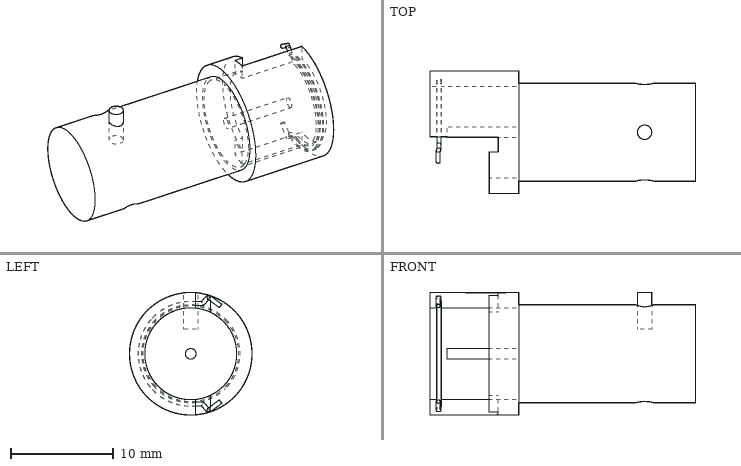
import cadquery as cq

total_length = 25.95

socket_radius = 6.0
socket_length = 8.7
bore_radius = 4.5

opening_face_y = -0.45
opening_length = 5.79
notch_length = 6.67
notch_face_y = -1.92

tube_radius = 4.8
waist_center_x = 20.97
waist_width = 1.82
waist_depth = 0.13
lug_radius = 0.7
lug_rim_rounding = 0.15
lug_top_z = socket_radius
lug_root_z = tube_radius / 2

contact_radius = 0.52
contact_tip_x = 1.65

groove_center_x = 0.88
groove_width = 0.47
groove_radius = 5.15
wire_radius = 0.2
clip_radius = 4.9

leg_bend = (-1.15, clip_radius)
crest_start = (-1.63, 5.45)
crest_end = (-1.87, 5.45)
leg_tip = (-2.9, 4.67)
tail_shift_x = -0.08


def cylinder_along_x(radius, start_x, end_x):
    """Cylinder on the connector axis between two X positions."""
    return cq.Workplane("YZ", origin=(start_x, 0, 0)).circle(radius).extrude(end_x - start_x)


def make_shell():
    """Socket ring and tube, turned about the X axis."""
    waist_start = waist_center_x - waist_width / 2
    waist_end = waist_center_x + waist_width / 2
    profile = (
        cq.Workplane("XY")
        .moveTo(0, bore_radius)
        .lineTo(0, socket_radius)
        .lineTo(socket_length, socket_radius)
        .lineTo(socket_length, tube_radius)
        .lineTo(waist_start, tube_radius)
        .threePointArc((waist_center_x, tube_radius - waist_depth), (waist_end, tube_radius))
        .lineTo(total_length, tube_radius)
        .lineTo(total_length, 0)
        .lineTo(socket_length, 0)
        .lineTo(socket_length, bore_radius)
        .close()
    )
    return profile.revolve(360, (0, 0, 0), (1, 0, 0))


def lug_cylinder():
    """Round bar standing on the lug axis, from the bottom of its hole to its top."""
    return (
        cq.Workplane("XY", origin=(waist_center_x, 0, lug_root_z))
        .circle(lug_radius)
        .extrude(lug_top_z - lug_root_z)
    )


def cut_lug_hole(body):
    """Blind hole for the bayonet lug in the waist, with a rounded rim."""
    rim_zone = cq.selectors.BoxSelector(
        (waist_center_x - waist_width / 2, -waist_width / 2, tube_radius - 3 * waist_depth),
        (waist_center_x + waist_width / 2, waist_width / 2, tube_radius),
        boundingbox=True,
    )
    return body.cut(lug_cylinder()).edges(rim_zone).fillet(lug_rim_rounding)


def cut_side_opening(body):
    """Stepped opening that removes the -Y side of the socket mouth."""
    opening = (
        cq.Workplane("XY")
        .moveTo(0, opening_face_y)
        .lineTo(notch_length, opening_face_y)
        .lineTo(notch_length, notch_face_y)
        .lineTo(opening_length, notch_face_y)
        .lineTo(opening_length, -socket_radius)
        .lineTo(0, -socket_radius)
        .close()
        .extrude(socket_radius, both=True)
    )
    return body.cut(opening)


def cut_clip_groove(body):
    """Square ring groove in the bore that holds the wire clip."""
    start_x = groove_center_x - groove_width / 2
    return body.cut(cylinder_along_x(groove_radius, start_x, start_x + groove_width))


def add_contact_pin(body):
    """Contact pin rising from the socket floor towards the open end."""
    return body.union(cylinder_along_x(contact_radius, contact_tip_x, socket_length))


def make_housing():
    body = cut_lug_hole(make_shell())
    body = cut_clip_groove(body)
    body = cut_side_opening(body)
    return add_contact_pin(body)


def make_bayonet_lug():
    return lug_cylinder()


def make_upper_leg():
    """Bent leg that continues the upper end of the wire ring through the side opening."""
    tail_x = groove_center_x + tail_shift_x
    points = [
        cq.Vector(groove_center_x, 0, clip_radius),
        cq.Vector(groove_center_x, *leg_bend),
        cq.Vector(groove_center_x, *crest_start),
        cq.Vector(tail_x, *crest_end),
        cq.Vector(tail_x, *leg_tip),
    ]
    path = cq.Workplane(cq.Wire.makePolygon(points))
    section = cq.Workplane("XZ", origin=points[0].toTuple()).circle(wire_radius)
    return section.sweep(path, transition="right")


def make_wire_clip():
    """Half ring of round wire with a bent leg at each end."""
    half_ring = (
        cq.Workplane("XZ", origin=(groove_center_x, 0, 0))
        .center(0, clip_radius)
        .circle(wire_radius)
        .revolve(180, (0, -clip_radius, 0), (-1, -clip_radius, 0))
    )
    upper_leg = make_upper_leg()
    lower_leg = upper_leg.mirror("XY")
    return half_ring.union(upper_leg).union(lower_leg)


housing = make_housing()
bayonet_lug = make_bayonet_lug()
wire_clip = make_wire_clip()

result = cq.Compound.makeCompound([housing.solids().val(), bayonet_lug.val(), wire_clip.solids().val()])